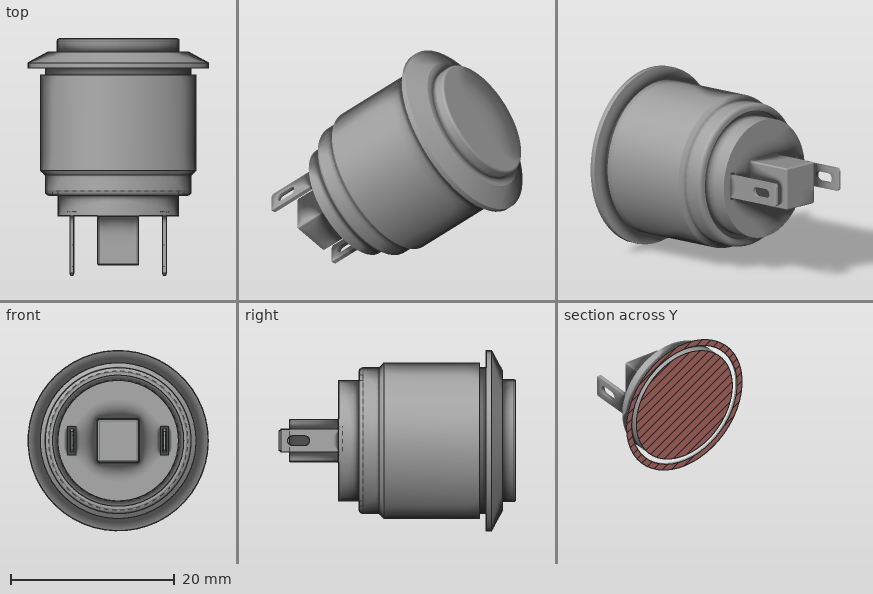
import cadquery as cq


button_diameter = 14.9
button_front = 3.6
button_edge_radius = 0.3

flange_diameter = 22.0
flange_face_diameter = 17.0
flange_height = 2.0
flange_rim_height = 0.65

housing_diameter = 17.8
housing_rear = -15.5
housing_edge_radius = 0.5
thread_diameter = 19.0
thread_start = -0.8
thread_end = -13.05
thread_chamfer = (thread_diameter - housing_diameter) / 2

plug_diameter = 14.7
plug_rear = -18.0
recess_diameter = 16.0
recess_depth = 0.5

block_width = 5.0
block_height = 5.2
block_length = 6.0
block_edge_radius = 0.2
block_root_flare = 0.1
block_root_taper = 45.0

terminal_offset = 5.65
terminal_thickness = 0.5
terminal_height = 2.8
terminal_rear = -25.3
terminal_tip_length = 0.3
terminal_tip_thickness = 0.25
terminal_tip_height = 2.25
eyelet_length = 2.65
eyelet_height = 1.2
eyelet_center = -22.88

pocket_width = 1.0
pocket_height = 3.5
pocket_depth = 0.5


def box_along_y(width, height, y_front, y_rear, x_center=0.0):
    """Box centred on Z = 0 that spans y_rear to y_front."""
    length = y_front - y_rear
    y_center = (y_front + y_rear) / 2
    return cq.Workplane("XY").box(width, length, height).translate((x_center, y_center, 0))


def make_body():
    """Revolve the button, flange, housing and plug as one stepped profile."""
    button_radius = button_diameter / 2
    flange_radius = flange_diameter / 2
    housing_radius = housing_diameter / 2
    thread_radius = thread_diameter / 2
    recess_floor = housing_rear + recess_depth
    profile = (
        cq.Workplane("XY")
        .moveTo(0, button_front)
        .lineTo(button_radius - button_edge_radius, button_front)
        .radiusArc((button_radius, button_front - button_edge_radius), button_edge_radius)
        .lineTo(button_radius, flange_height)
        .lineTo(flange_face_diameter / 2, flange_height)
        .lineTo(flange_radius, flange_rim_height)
        .lineTo(flange_radius, 0)
        .lineTo(housing_radius, 0)
        .lineTo(housing_radius, thread_start)
        .lineTo(thread_radius, thread_start)
        .lineTo(thread_radius, thread_end + thread_chamfer)
        .lineTo(housing_radius, thread_end)
        .lineTo(housing_radius, housing_rear + housing_edge_radius)
        .radiusArc((housing_radius - housing_edge_radius, housing_rear), housing_edge_radius)
        .lineTo(recess_diameter / 2, housing_rear)
        .lineTo(recess_diameter / 2, recess_floor)
        .lineTo(plug_diameter / 2, recess_floor)
        .lineTo(plug_diameter / 2, plug_rear)
        .lineTo(0, plug_rear)
        .close()
    )
    return profile.revolve(360, (0, 0, 0), (0, 1, 0))


def make_block():
    """Central block with rounded edges and a narrow flared root where it meets the plug."""
    block = box_along_y(block_width, block_height, plug_rear, plug_rear - block_length)
    block = block.edges("|Y").fillet(block_edge_radius).faces("<Y").edges().fillet(block_edge_radius)
    root_outline = (
        cq.Sketch()
        .rect(block_width + 2 * block_root_flare, block_height + 2 * block_root_flare)
        .vertices()
        .fillet(block_edge_radius + block_root_flare)
    )
    root = (
        cq.Workplane("XZ", origin=(0, plug_rear, 0))
        .placeSketch(root_outline)
        .extrude(block_root_flare, taper=block_root_taper)
    )
    return block.union(root)


def make_pocket(x_center):
    """Clearance pocket in the plug around one terminal."""
    return box_along_y(pocket_width, pocket_height, plug_rear + pocket_depth, plug_rear, x_center)


def make_terminal(x_center):
    """Flat blade with a tapered tip and an eyelet, rooted in its pocket floor."""
    taper_start = terminal_rear + terminal_tip_length
    blade = box_along_y(
        terminal_thickness, terminal_height, plug_rear + pocket_depth, taper_start, x_center
    )
    tip = (
        cq.Workplane("XZ", origin=(x_center, taper_start, 0))
        .rect(terminal_thickness, terminal_height)
        .workplane(offset=terminal_tip_length)
        .rect(terminal_tip_thickness, terminal_tip_height)
        .loft(ruled=True)
    )
    eyelet = (
        cq.Workplane("YZ", origin=(x_center, eyelet_center, 0))
        .slot2D(eyelet_length, eyelet_height)
        .extrude(terminal_thickness, both=True)
    )
    return blade.union(tip).cut(eyelet)


result = make_body().union(make_block())
for terminal_x in (-terminal_offset, terminal_offset):
    result = result.cut(make_pocket(terminal_x)).union(make_terminal(terminal_x))